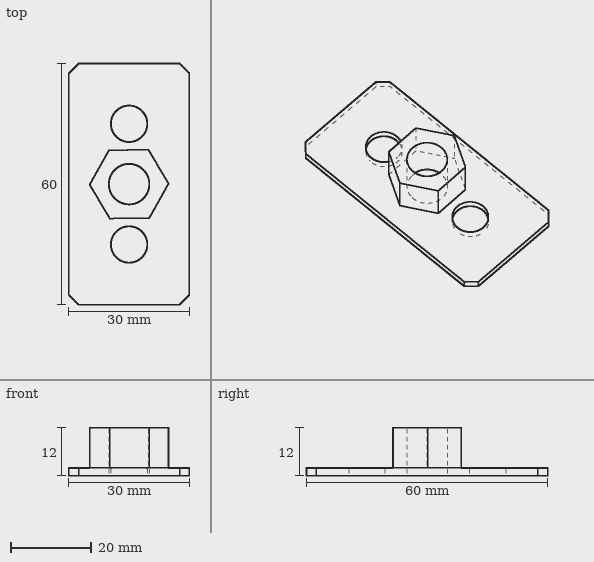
import math

import cadquery as cq

plate_length = 60.0
plate_width = 30.0
plate_thickness = 2.0
corner_chamfer = 2.45
mounting_hole_diameter = 9.0
mounting_hole_spacing = plate_length / 2

overall_height = 12.0
nut_height = overall_height - plate_thickness
nut_across_flats = 17.0
nut_across_corners = nut_across_flats / math.cos(math.pi / 6)
nut_tilt = 0.7
bore_diameter = 10.0


def make_plate():
    """Flat plate with chamfered corners and two mounting holes."""
    plate = cq.Workplane("XY").box(
        plate_width, plate_length, plate_thickness, centered=(True, True, False)
    )
    plate = plate.edges("|Z").chamfer(corner_chamfer)
    hole_centres = [(0, -mounting_hole_spacing / 2), (0, mounting_hole_spacing / 2)]
    return plate.faces(">Z").workplane().pushPoints(hole_centres).hole(mounting_hole_diameter)


def make_nut():
    """Solid hexagon resting on the plate, with two corners close to the X axis."""
    return (
        cq.Workplane("XY")
        .workplane(offset=plate_thickness)
        .transformed(rotate=(0, 0, nut_tilt))
        .polygon(6, nut_across_corners)
        .extrude(nut_height)
    )


result = make_plate().union(make_nut()).faces(">Z").workplane(origin=(0, 0, 0)).hole(bore_diameter)